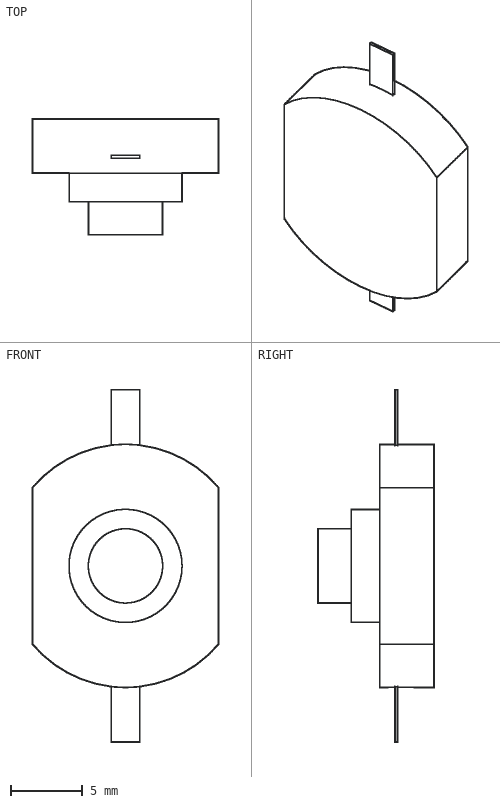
import cadquery as cq

TOTAL_HEIGHT = 24.65
TOTAL_DEPTH = 8.1

HOUSING_DIAMETER = 17.0
HOUSING_WIDTH = 13.0
HOUSING_DEPTH = 3.8
COLLAR_DIAMETER = 7.9
COLLAR_DEPTH = 2.0

BUTTON_DIAMETER = 5.2
BUTTON_LENGTH = TOTAL_DEPTH - HOUSING_DEPTH

TERMINAL_WIDTH = 2.0
TERMINAL_THICKNESS = 0.2
TERMINAL_FRONT_GAP = 1.05
TERMINAL_INSERTION = 0.99
TERMINAL_LENGTH = (TOTAL_HEIGHT - HOUSING_DIAMETER) / 2 + TERMINAL_INSERTION

TERMINAL_Y = TERMINAL_FRONT_GAP + TERMINAL_THICKNESS / 2
TERMINAL_Z = (TOTAL_HEIGHT - TERMINAL_LENGTH) / 2
TERMINAL_SIDES = (1, -1)


def cylinder_forward(diameter, start_y, depth):
    """Cylinder about the Y axis, growing from start_y toward -Y."""
    return (
        cq.Workplane("XZ", origin=(0, start_y, 0))
        .circle(diameter / 2)
        .extrude(depth)
    )


def make_button():
    """Pin seated on the floor of the collar bore, at the housing front face."""
    return cylinder_forward(BUTTON_DIAMETER, 0, BUTTON_LENGTH)


def make_terminal(side):
    """Strip above (side = 1) or below (side = -1) the housing."""
    strip = cq.Workplane("XY").box(TERMINAL_WIDTH, TERMINAL_THICKNESS, TERMINAL_LENGTH)
    return strip.translate((0, TERMINAL_Y, side * TERMINAL_Z))


def make_housing():
    """Flat-sided disc with its collar, bored for the button and slotted for the terminals."""
    disc = cylinder_forward(HOUSING_DIAMETER, HOUSING_DEPTH, HOUSING_DEPTH)
    flats = cq.Workplane("XY").box(HOUSING_WIDTH, 2 * HOUSING_DEPTH, HOUSING_DIAMETER)
    collar = cylinder_forward(COLLAR_DIAMETER, 0, COLLAR_DEPTH)
    body = disc.intersect(flats).union(collar)

    body = body.cut(make_button())
    for side in TERMINAL_SIDES:
        body = body.cut(make_terminal(side))
    return body


housing = make_housing().solids()
button = make_button()
terminals = [make_terminal(side) for side in TERMINAL_SIDES]

result = cq.Compound.makeCompound(
    [housing.val(), button.val(), *[terminal.val() for terminal in terminals]]
)